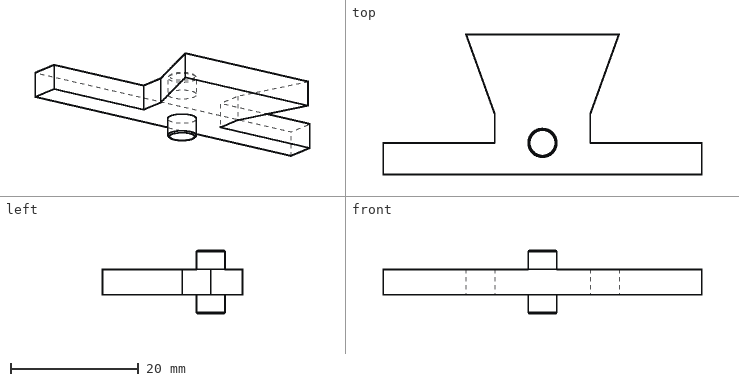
import cadquery as cq

bar_length = 50.0
bar_depth = 5.0
thickness = 4.0

total_depth = 22.0
neck_width = 15.0
neck_end = 9.5
tail_width = 24.0

pin_diameter = 4.5
pin_length = 10.0
pin_chamfer = 0.25
pin_y = bar_depth


def make_plate():
    """T-shaped plate with a flared tail, centred on Z = 0."""
    right_side = [
        (bar_length / 2, 0),
        (bar_length / 2, bar_depth),
        (neck_width / 2, bar_depth),
        (neck_width / 2, neck_end),
        (tail_width / 2, total_depth),
    ]
    left_side = [(-x, y) for x, y in reversed(right_side)]
    outline = cq.Workplane("XY").polyline(right_side + left_side).close()
    return outline.extrude(thickness / 2, both=True)


def make_pin():
    """Round pin along Z with both end edges chamfered."""
    pin = cq.Workplane("XY").center(0, pin_y).circle(pin_diameter / 2)
    return pin.extrude(pin_length / 2, both=True).faces("<Z or >Z").edges().chamfer(pin_chamfer)


result = make_plate().union(make_pin())